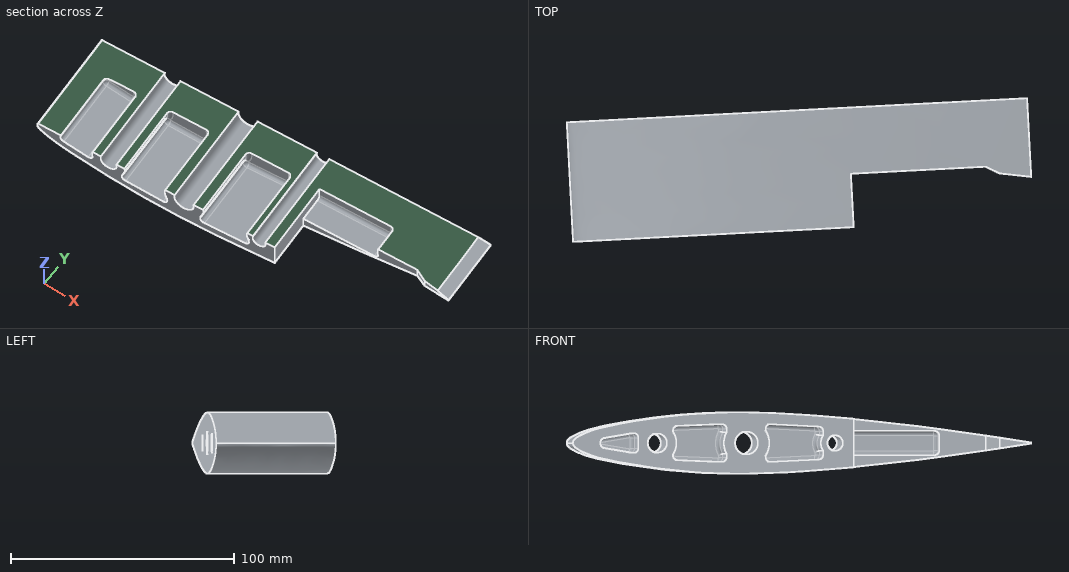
import cadquery as cq
chord = 206.7
span = 53.8
sweep_angle = 3.0

max_half_thickness = 13.85
tail_slope = 0.16
trailing_radius = 0.31

section_stations = [
    (3.1, 3.3),
    (10.5, 6.3),
    (25.0, 9.4),
    (45.9, 12.3),
    (77.1, max_half_thickness),
    (104.2, 12.7),
    (125.0, 11.0),
    (166.7, 6.3),
    (chord - trailing_radius, trailing_radius),
]

step_at = 126.0
notch_depth = 24.0
ramp_start = 186.5
ramp_end = 192.5
ramp_end_depth = 20.6
trailing_edge_depth = 18.3

front_hole = {"at": 38.0, "diameter": 8.5, "collar_radius": 8.5}
main_hole = {"at": 78.0, "diameter": 10.2, "collar_radius": 10.2}
rear_hole = {"at": 117.8, "diameter": 6.9, "collar_radius": 6.5}
holes = [front_hole, main_hole, rear_hole]

pocket_depth = 37.5
floor_fillet = 1.9
corner_fillet = 2.0

nose_pocket_start = 12.3
nose_pocket_end = 29.4
nose_pocket_start_half_height = 1.9
nose_pocket_end_half_height = 4.8

front_pocket_end = 69.0
rear_pocket_start = 86.5
rear_pocket_end = 112.3
tall_half_height = 8.5
low_half_height = 7.3

notch_pocket_end = 165.7
notch_pocket_half_height = 5.5


def airfoil():
    """Round-nosed section with a thin rounded trailing edge, extruded over the full span."""
    nose = (0, 0)
    upper = section_stations
    lower = [(x, -z) for x, z in reversed(upper)]
    outline = (
        cq.Workplane("XZ")
        .spline([nose] + upper, tangents=[(0, 1), (1, -tail_slope)], scale=False)
        .threePointArc((chord, 0), lower[0])
        .spline(lower[1:] + [nose], tangents=[(-1, -tail_slope), (0, 1)], scale=False, includeCurrent=True)
        .close()
    )
    return outline.extrude(-span)


def planform():
    """Outline seen along Z, reaching past the nose and taller than the section."""
    margin = 2.0
    outline = [
        (-margin, 0),
        (step_at, 0),
        (step_at, notch_depth),
        (ramp_start, notch_depth),
        (ramp_end, ramp_end_depth),
        (chord, trailing_edge_depth),
        (chord, span),
        (-margin, span),
    ]
    return cq.Workplane("XY").polyline(outline).close().extrude(max_half_thickness + margin, both=True)


def spanwise_cylinder(at, radius):
    return cq.Workplane("XZ").center(at, 0).circle(radius).extrude(-span)


def tapered_block(start, start_half_height, end, end_half_height, depth):
    """Pocket blank from the root face, symmetric about Z = 0."""
    outline = [
        (start, -start_half_height),
        (end, -end_half_height),
        (end, end_half_height),
        (start, start_half_height),
    ]
    return cq.Workplane("XZ").polyline(outline).close().extrude(-depth)


def round_corners(blank):
    return blank.edges("|Y").fillet(corner_fillet)


def round_floor(blank):
    return blank.faces(">Y").edges().fillet(floor_fillet)


def cut_collar(blank, hole):
    return blank.cut(spanwise_cylinder(hole["at"], hole["collar_radius"]))


def nose_pocket():
    blank = tapered_block(
        nose_pocket_start,
        nose_pocket_start_half_height,
        nose_pocket_end,
        nose_pocket_end_half_height,
        pocket_depth,
    )
    return round_floor(round_corners(blank))


def front_pocket():
    """The front collar cuts right across this pocket, leaving two sharp corners that are rounded."""
    blank = tapered_block(front_hole["at"], low_half_height, front_pocket_end, tall_half_height, pocket_depth)
    blank = round_corners(cut_collar(blank, front_hole))
    return round_floor(cut_collar(blank, main_hole))


def rear_pocket():
    blank = tapered_block(rear_pocket_start, tall_half_height, rear_pocket_end, low_half_height, pocket_depth)
    blank = cut_collar(round_corners(blank), main_hole)
    return round_floor(cut_collar(blank, rear_hole))


def notch_pocket():
    """Pocket behind the step, running flush up to the step face."""
    floor_depth = pocket_depth - notch_depth
    half_height = notch_pocket_half_height
    blank = tapered_block(step_at, half_height, notch_pocket_end, half_height, floor_depth)
    blank = blank.edges("|Y and >X").fillet(corner_fillet)
    blank = blank.faces(">Y").edges("not <X").fillet(floor_fillet)
    return blank.translate((0, notch_depth, 0))


body = airfoil().intersect(planform())

for hole in holes:
    body = body.cut(spanwise_cylinder(hole["at"], hole["diameter"] / 2))

for pocket in (nose_pocket(), front_pocket(), rear_pocket(), notch_pocket()):
    body = body.cut(pocket)

result = body.rotate((0, 0, 0), (0, 0, 1), sweep_angle)